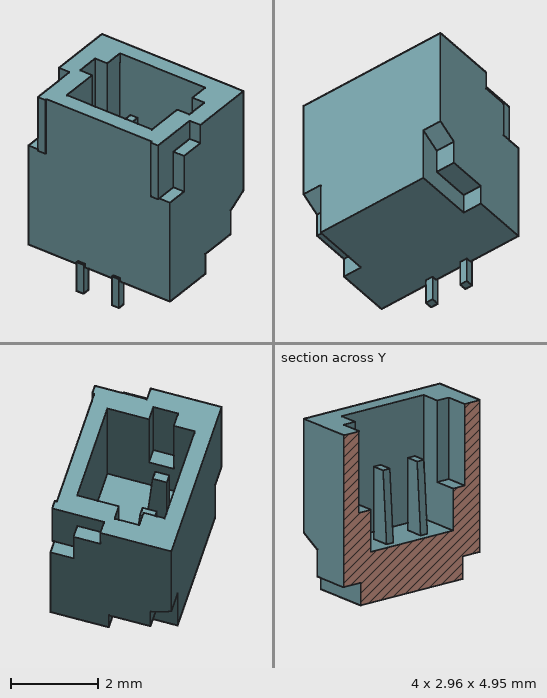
import cadquery as cq

width = 4.0
depth = 2.9
height = 4.245

cavity_width = 2.405
front_wall = 0.4
rear_wall = 0.4
cavity_depth = 3.0
key_slot_reach = 0.34
key_slot_width = 0.595
key_slot_depth = 1.98
key_slot_from_rear = 0.905
rear_draft = 0.02

recess_inset = 0.3
recess_long = 1.2
recess_short = 0.555
recess_shallow = 0.505
recess_deep = 1.495
rib_width = 0.21
rib_projection = 0.05

pocket_inset = 0.5
pocket_long = 1.5
pocket_short = 0.5
pocket_low = 0.55
pocket_shoulder = 1.21
pocket_top = 1.485

pitch = 1.0
pin_width = 0.2
tail_thickness = 0.2
tail_projection = 0.06
tail_length = 0.705
tail_embed = 0.1
post_from_rear = 0.83
post_flat = 0.34
post_taper = 0.13
post_tip_below_top = 1.238
post_embed = 0.1

cavity_floor = height - cavity_depth


def box(x_min, x_max, y_min, y_max, z_min, z_max):
    size = (x_max - x_min, y_max - y_min, z_max - z_min)
    return cq.Workplane("XY").box(*size, centered=False).translate((x_min, y_min, z_min))


def side_prism(profile, x_min, x_max):
    """Extrude a closed (Y, Z) profile between two X positions."""
    return cq.Workplane("YZ", origin=(x_min, 0, 0)).polyline(profile).close().extrude(x_max - x_min)


def both_sides(shape):
    return shape.union(shape.mirror("YZ"))


def make_cavity():
    half = cavity_width / 2
    rear = depth - rear_wall
    slot_half = half + key_slot_reach
    slot_rear = depth - key_slot_from_rear
    profile = [
        (front_wall, height),
        (rear, height),
        (rear - rear_draft, cavity_floor),
        (front_wall, cavity_floor),
    ]
    main = side_prism(profile, -half, half)
    slots = box(-slot_half, slot_half, slot_rear - key_slot_width, slot_rear, height - key_slot_depth, height)
    return main.union(slots)


def make_front_recess():
    profile = [
        (0, height),
        (recess_long, height),
        (recess_long, height - recess_shallow),
        (recess_short, height - recess_shallow),
        (recess_short, height - recess_deep),
        (0, height - recess_deep),
    ]
    return side_prism(profile, -width / 2, -width / 2 + recess_inset)


def make_front_rib():
    left = -width / 2 + recess_inset
    return box(left, left + rib_width, -rib_projection, front_wall, height - recess_deep, height)


def make_rear_pocket():
    profile = [
        (depth, 0),
        (depth - pocket_long, 0),
        (depth - pocket_long, pocket_low),
        (depth - pocket_short, pocket_low),
        (depth - pocket_short, pocket_shoulder),
        (depth, pocket_top),
    ]
    return side_prism(profile, -width / 2, -width / 2 + pocket_inset)


def make_contact(x):
    left = x - pin_width / 2
    right = x + pin_width / 2
    tail_front = -tail_projection
    tail = box(left, right, tail_front, tail_front + tail_thickness, -tail_length, tail_embed)

    post_rear = depth - post_from_rear
    taper_rear = post_rear - post_flat
    post_front = taper_rear - post_taper
    tip = height - post_tip_below_top
    profile = [
        (post_rear, cavity_floor - post_embed),
        (post_rear, tip),
        (taper_rear, tip),
        (post_front, cavity_floor),
        (post_front, cavity_floor - post_embed),
    ]
    return tail.union(side_prism(profile, left, right))


result = box(-width / 2, width / 2, 0, depth, 0, height)
result = result.cut(make_cavity())
result = result.cut(both_sides(make_front_recess()))
result = result.cut(both_sides(make_rear_pocket()))
result = result.union(both_sides(make_front_rib()))
for side in (-1, 1):
    result = result.union(make_contact(side * pitch / 2))